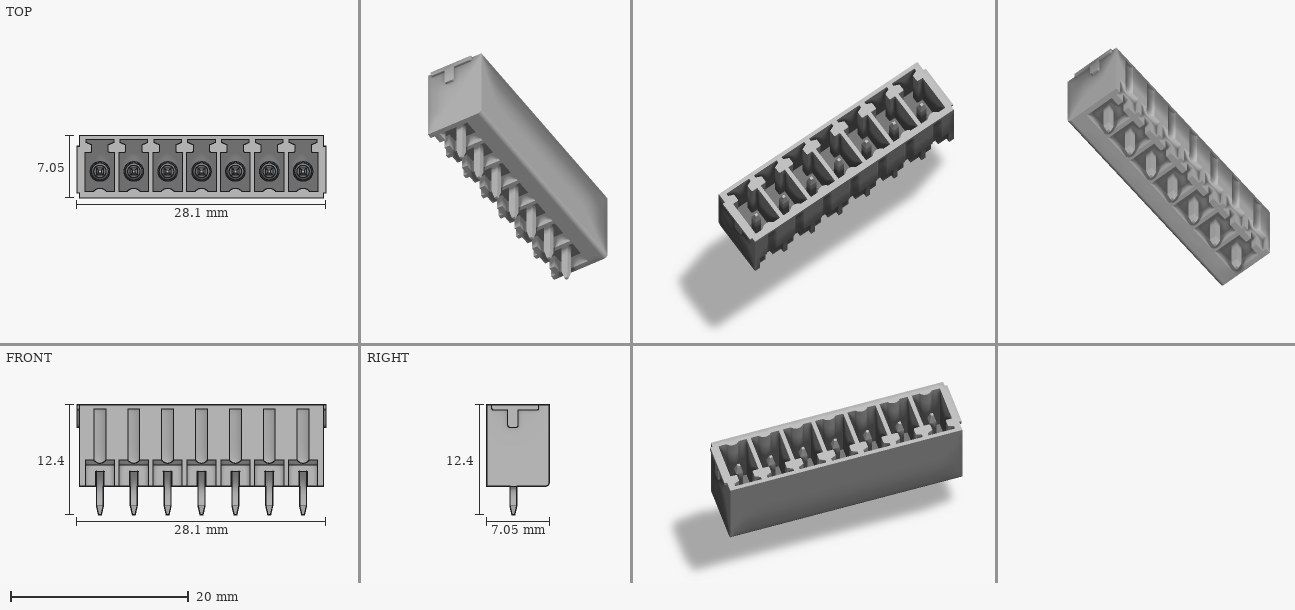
import cadquery as cq


pin_count = 7
pitch = 3.81
row_span = (pin_count - 1) * pitch
pin_positions = [i * pitch - row_span / 2 for i in range(pin_count)]
pin_y = 3.0

housing_length = 27.46
housing_depth = 7.05
housing_height = 9.2
back_edge_radius = 0.5

cell_width = 3.33
cell_front = 0.75
shoulder_y = 5.15
neck_width = 1.84
neck_end_y = 6.0
flare_width = 3.12
flare_end_y = 6.27
cell_back = 6.6
shoulder_radius = 0.15
floor_z = 2.4

rib_width = 1.45
rib_depth = 0.36
groove_width = 1.34
groove_depth = 0.33
groove_top_gap = 0.5
groove_top_z = housing_height - groove_top_gap

collar_base_radius = 1.1
collar_rim_radius = 0.95
collar_top_radius = 0.7
collar_rim_height = 0.3
collar_height = 0.55

notch_width = 3.28
notch_depth = 0.5
notch_back_height = 2.42
notch_front_height = 2.97
skirt_thickness = 0.7
slot_width = 0.96
slot_height = 1.7

recess_front = notch_depth + skirt_thickness
recess_back = 2 * pin_y - recess_front

key_thickness = 0.3
key_bar_front = 0.57
key_bar_back = 5.85
key_bar_height = 0.58
key_bar_radius = 0.15
key_stem_front = 2.37
key_stem_back = 3.55
key_stem_height = 2.55
key_stem_radius = 0.25

pin_size = 0.8
pin_bottom_z = -3.2
pin_top_gap = 1.33
pin_top_z = housing_height - pin_top_gap
tip_length = 1.05
tip_size = 0.32


def box_between(x_center, width, y_front, y_back, z_bottom, z_top):
    """Box centred on x_center and set by its limits in Y and Z."""
    return (
        cq.Workplane("XY")
        .box(width, y_back - y_front, z_top - z_bottom, centered=(True, False, False))
        .translate((x_center, y_front, z_bottom))
    )


def make_cell(x):
    """Space of one cell, with the front rib left standing."""
    half_cell = cell_width / 2
    half_rib = rib_width / 2
    half_neck = neck_width / 2
    half_flare = flare_width / 2
    space = (
        cq.Workplane("XY", origin=(x, 0, floor_z))
        .moveTo(-half_cell, cell_front)
        .lineTo(-half_rib, cell_front)
        .threePointArc((0, cell_front + rib_depth), (half_rib, cell_front))
        .lineTo(half_cell, cell_front)
        .lineTo(half_cell, shoulder_y)
        .lineTo(half_neck, shoulder_y)
        .lineTo(half_neck, neck_end_y)
        .lineTo(half_flare, flare_end_y)
        .lineTo(half_flare, cell_back)
        .lineTo(-half_flare, cell_back)
        .lineTo(-half_flare, flare_end_y)
        .lineTo(-half_neck, neck_end_y)
        .lineTo(-half_neck, shoulder_y)
        .lineTo(-half_cell, shoulder_y)
        .close()
        .extrude(housing_height - floor_z)
    )
    shoulder_corners = cq.selectors.BoxSelector(
        (x - half_neck - shoulder_radius, shoulder_y - shoulder_radius, floor_z),
        (x + half_neck + shoulder_radius, shoulder_y + shoulder_radius, housing_height),
    )
    return space.edges("|Z").edges(shoulder_corners).fillet(shoulder_radius)


def make_groove(x):
    """Round groove in the front face, running down into the notch."""
    return (
        cq.Workplane("XY", origin=(x, 0, 0))
        .moveTo(-groove_width / 2, 0)
        .threePointArc((0, groove_depth), (groove_width / 2, 0))
        .close()
        .extrude(groove_top_z)
    )


def make_notch(x):
    """Front notch with a sloping ceiling."""
    return (
        cq.Workplane("YZ", origin=(x - notch_width / 2, 0, 0))
        .polyline([
            (0, 0),
            (notch_depth, 0),
            (notch_depth, notch_back_height),
            (0, notch_front_height),
        ])
        .close()
        .extrude(notch_width)
    )


def make_collar(x):
    """Tapered collar standing on the cell floor."""
    return (
        cq.Workplane("XZ")
        .polyline([
            (0, 0),
            (collar_base_radius, 0),
            (collar_rim_radius, collar_rim_height),
            (collar_top_radius, collar_height),
            (0, collar_height),
        ])
        .close()
        .revolve(360, (0, 0, 0), (0, 1, 0))
        .translate((x, pin_y, floor_z))
    )


def make_pin_hole(x):
    """Square hole for the pin shank, through the floor and collar."""
    return box_between(x, pin_size, pin_y - pin_size / 2, pin_y + pin_size / 2, 0, housing_height)


def key_plate(y_front, y_back, height, corner_radius):
    """Plate across the housing, thick enough to stand out as a key at both ends."""
    plate_length = housing_length + 2 * key_thickness
    plate = box_between(0, plate_length, y_front, y_back, housing_height - height, housing_height)
    return plate.edges("|X and <Z").fillet(corner_radius)


def make_housing():
    body = box_between(0, housing_length, 0, housing_depth, 0, housing_height)
    body = body.edges("|X and >Y and <Z").fillet(back_edge_radius)
    body = body.union(key_plate(key_bar_front, key_bar_back, key_bar_height, key_bar_radius))
    body = body.union(key_plate(key_stem_front, key_stem_back, key_stem_height, key_stem_radius))
    for x in pin_positions:
        body = body.cut(make_cell(x))
        body = body.cut(make_groove(x))
        body = body.cut(make_notch(x))
        body = body.cut(box_between(x, slot_width, 0, recess_front, 0, slot_height))
        body = body.cut(box_between(x, cell_width, recess_front, recess_back, 0, slot_height))
        body = body.union(make_collar(x))
        body = body.cut(make_pin_hole(x))
    return body


def pin_profile(plane):
    """Pin outline with a straight taper at both ends, extruded across the pin."""
    half = pin_size / 2
    half_tip = tip_size / 2
    lower_taper_z = pin_bottom_z + tip_length
    upper_taper_z = pin_top_z - tip_length
    return (
        cq.Workplane(plane)
        .polyline([
            (-half_tip, pin_bottom_z),
            (half_tip, pin_bottom_z),
            (half, lower_taper_z),
            (half, upper_taper_z),
            (half_tip, pin_top_z),
            (-half_tip, pin_top_z),
            (-half, upper_taper_z),
            (-half, lower_taper_z),
        ])
        .close()
        .extrude(half, both=True)
    )


def make_pin(x):
    """Square pin whose tips narrow on all four sides."""
    return pin_profile("XZ").intersect(pin_profile("YZ")).translate((x, pin_y, 0))


housing = make_housing()
pins = [make_pin(x) for x in pin_positions]

result = cq.Compound.makeCompound([housing.val(), *[pin.val() for pin in pins]])